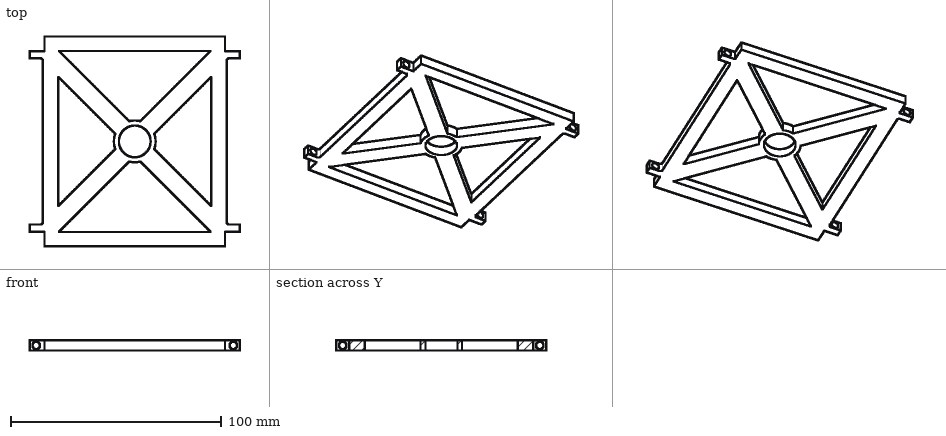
import cadquery as cq

overall = 100.0
thickness = 5.0
end_rail_width = 7.0
side_rail_half_span = 43.8
side_rail_width = 7.5

tab_length = 7.0
tab_thickness = 3.5
tab_hole_diameter = 3.5
tab_hole_inset = 3.1
tab_fillet = 1.1

hub_diameter = 20.0
hub_bore = 15.0
brace_offset_to_end_window = 7.0
brace_offset_to_side_window = 5.7

half = overall / 2
end_half_width = half - tab_length
tab_outer_y = half - end_rail_width
tab_inner_y = tab_outer_y - tab_thickness
window_half_x = side_rail_half_span - side_rail_width
window_half_y = tab_outer_y


def centered_box(size_x, size_y):
    return cq.Workplane("XY").box(size_x, size_y, thickness)


def make_outline():
    """Solid plate with full-width tab strips and filleted tab roots."""
    plate = centered_box(2 * end_half_width, overall)
    plate = plate.union(centered_box(2 * side_rail_half_span, 2 * tab_inner_y))
    strip_y = (tab_outer_y + tab_inner_y) / 2
    for side in (-1, 1):
        strip = centered_box(overall, tab_thickness)
        plate = plate.union(strip.translate((0, side * strip_y, 0)))
    root_selector = cq.selectors.BoxSelector(
        (-side_rail_half_span - tab_fillet / 2, -tab_inner_y - tab_fillet / 2, -thickness),
        (side_rail_half_span + tab_fillet / 2, tab_inner_y + tab_fillet / 2, thickness),
    )
    return plate.edges("|Z").edges(root_selector).fillet(tab_fillet)


def triangle(points):
    return cq.Workplane("XY").polyline(points).close().extrude(thickness / 2, both=True)


def make_windows():
    """Four triangular openings, bounded by 45 degree braces and the round hub."""
    end_half_base = window_half_y - brace_offset_to_end_window
    side_half_base = window_half_x - brace_offset_to_side_window
    end_window = triangle([
        (0, brace_offset_to_end_window),
        (end_half_base, window_half_y),
        (-end_half_base, window_half_y),
    ])
    side_window = triangle([
        (brace_offset_to_side_window, 0),
        (window_half_x, side_half_base),
        (window_half_x, -side_half_base),
    ])
    windows = end_window.union(end_window.mirror("XZ"))
    windows = windows.union(side_window).union(side_window.mirror("YZ"))
    hub = cq.Workplane("XY").circle(hub_diameter / 2).extrude(thickness / 2, both=True)
    return windows.cut(hub)


def make_tab_holes():
    """Holes along Y through the tabs, just outside the side rails."""
    hole_x = half - tab_hole_inset
    return (
        cq.Workplane("XZ")
        .pushPoints([(-hole_x, 0), (hole_x, 0)])
        .circle(tab_hole_diameter / 2)
        .extrude(half, both=True)
    )


bore = cq.Workplane("XY").circle(hub_bore / 2).extrude(thickness / 2, both=True)
result = make_outline().cut(make_windows()).cut(bore).cut(make_tab_holes())